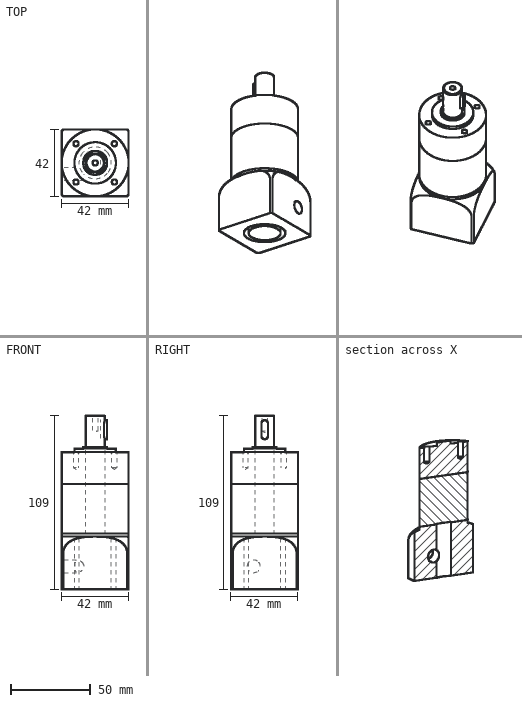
import cadquery as cq
import math

body_width = 42.0
body_radius = body_width / 2
total_height = 109.0

base_dome_foot = 23.2
dome_fillet = 10.0
corner_flat = 1.1
corner_radius = math.hypot(body_radius, body_radius - corner_flat)
base_top = 35.0
bore_radius = 13.0
access_hole_radius = 4.0
access_hole_y = -6.9
access_hole_z = 14.5

ring_top = 66.0
flange_top = 86.0
pilot_radius = 13.0
pilot_height = 2.1
pilot_top = flange_top + pilot_height
bolt_hole_radius = 1.6
bolt_hole_offset = 12.0
bolt_hole_depth = 9.8
drill_tip_angle = 118.0

hub_radius = 10.0
collar_radius = 7.5
collar_height = 1.0
shaft_radius = 6.0
shaft_chamfer = 0.5
center_hole_radius = 1.6
center_hole_depth = 9.8

key_width = 4.0
key_height = 4.0
key_length = 12.0
key_outer_x = 7.5
key_top_gap = 3.0


def cylinder(radius, bottom, top):
    return cq.Workplane("XY").workplane(offset=bottom).circle(radius).extrude(top - bottom)


def drilled_hole(x, y, top, radius, depth):
    """Cutter for a blind hole that opens upward and ends in a drill cone."""
    tip_length = radius / math.tan(math.radians(drill_tip_angle / 2))
    profile = (
        cq.Workplane("XZ")
        .moveTo(0, 0)
        .lineTo(radius, 0)
        .lineTo(radius, -depth)
        .lineTo(0, -depth - tip_length)
        .close()
    )
    return profile.revolve(360, (0, 0, 0), (0, 1, 0)).translate((x, y, top))


def make_base():
    """Square block with a domed shoulder, a round neck and a bore along its axis."""
    block = cq.Workplane("XY").rect(body_width, body_width).extrude(base_top)
    dome = cylinder(corner_radius, 0, base_dome_foot + dome_fillet).faces(">Z").edges().fillet(dome_fillet)
    neck = cylinder(body_radius, base_dome_foot, base_top)

    base = block.intersect(dome).union(neck)
    base = base.cut(cylinder(bore_radius, 0, base_top))

    access_hole = (
        cq.Workplane("YZ")
        .center(access_hole_y, access_hole_z)
        .circle(access_hole_radius)
        .extrude(-body_width)
    )
    return base.cut(access_hole)


def make_gear_ring():
    """Plain round ring between base and flange, bored for the shaft."""
    return cylinder(body_radius, base_top, ring_top).cut(cylinder(shaft_radius, base_top, ring_top))


def make_flange():
    """Round flange with a raised pilot, a shaft bore and four blind bolt holes."""
    flange = cylinder(body_radius, ring_top, flange_top)
    flange = flange.union(cylinder(pilot_radius, flange_top, pilot_top))
    flange = flange.cut(cylinder(shaft_radius, ring_top, pilot_top))
    for side_x in (-1, 1):
        for side_y in (-1, 1):
            flange = flange.cut(
                drilled_hole(
                    side_x * bolt_hole_offset,
                    side_y * bolt_hole_offset,
                    flange_top,
                    bolt_hole_radius,
                    bolt_hole_depth,
                )
            )
    return flange


def make_key():
    """Round-ended key lying along the +X side of the shaft."""
    key_middle_z = total_height - key_top_gap - key_length / 2
    return (
        cq.Workplane("YZ")
        .workplane(offset=key_outer_x - key_height)
        .center(0, key_middle_z)
        .slot2D(key_length, key_width, 90)
        .extrude(key_height)
    )


def make_shaft(key):
    """Shaft through the housing, with a hub, a collar, a center hole and a keyway."""
    shaft = cylinder(shaft_radius, 0, total_height).faces(">Z").edges().chamfer(shaft_chamfer)
    shaft = shaft.union(cylinder(hub_radius, 0, base_top))
    shaft = shaft.union(cylinder(collar_radius, pilot_top, pilot_top + collar_height))
    shaft = shaft.cut(drilled_hole(0, 0, total_height, center_hole_radius, center_hole_depth))
    return shaft.cut(key)


base = make_base()
gear_ring = make_gear_ring()
flange = make_flange()
key = make_key()
shaft = make_shaft(key)

result = cq.Compound.makeCompound([
    base.val(),
    gear_ring.val(),
    flange.val(),
    shaft.val(),
    key.val(),
])